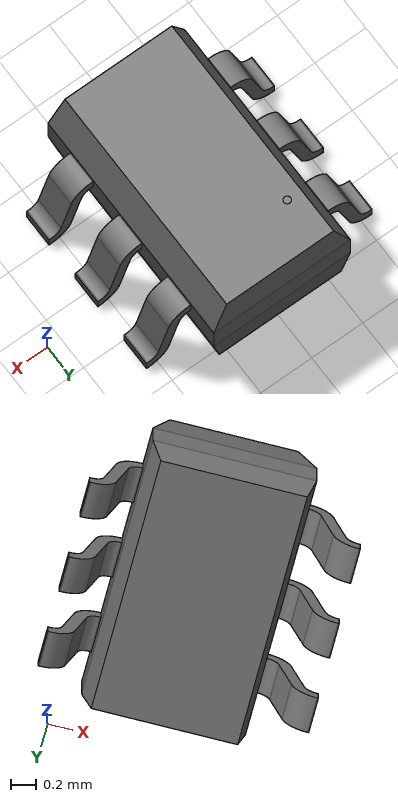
import cadquery as cq
import math


span_x = 2.21
housing_length = 2.21
overall_height = 1.09

belt_width = 1.34
belt_bottom_z = 0.453
belt_top_z = 0.735
housing_bottom_z = 0.105
top_width = 1.048
bottom_width = 1.195
end_taper = 0.027
tapered_length = housing_length - 2 * end_taper

leads_per_side = 3
lead_pitch = 0.65
lead_width = 0.3
lead_thickness = 0.105
lead_top_z = 0.723
inner_bend_radius = 0.11
outer_bend_radius = inner_bend_radius + lead_thickness
bend_angle = 75.0
shoulder_flat = 0.009

marker_diameter = 0.066
marker_depth = 0.022
marker_x = -0.385
marker_y = lead_pitch


def tapered_block(base_z, base_size, end_z, end_size):
    """Flat-sided block between two centred rectangles at different heights."""
    return (
        cq.Workplane("XY", origin=(0, 0, base_z))
        .rect(*base_size)
        .workplane(offset=end_z - base_z)
        .rect(*end_size)
        .loft(ruled=True)
    )


def make_marker():
    """Disc that fills the round recess in the housing top."""
    return (
        cq.Workplane("XY", origin=(marker_x, marker_y, overall_height - marker_depth))
        .circle(marker_diameter / 2)
        .extrude(marker_depth)
    )


def make_housing():
    """Belt and two tapered parts, with the marker recess cut into the top."""
    belt_size = (belt_width, housing_length)
    belt_height = belt_top_z - belt_bottom_z
    belt = cq.Workplane("XY", origin=(0, 0, belt_bottom_z)).rect(*belt_size).extrude(belt_height)
    upper = tapered_block(belt_top_z, belt_size, overall_height, (top_width, tapered_length))
    lower = tapered_block(belt_bottom_z, belt_size, housing_bottom_z, (bottom_width, tapered_length))
    return belt.union(upper).union(lower).cut(make_marker())


def bend_point(centre, radius, direction):
    """XZ point on a bend, with the direction in degrees from +X towards +Z."""
    angle = math.radians(direction)
    return (centre[0] + radius * math.cos(angle), centre[1] + radius * math.sin(angle))


def make_lead(side, centre_y):
    """Gull-wing lead on the +X side (side = 1) or the -X side (side = -1)."""
    shoulder_x = belt_width / 2
    foot_x = span_x / 2

    mid_radius = inner_bend_radius + lead_thickness / 2
    angle = math.radians(bend_angle)
    bends_run = 2 * mid_radius * math.sin(angle)
    bends_drop = 2 * mid_radius * (1 - math.cos(angle))
    leg_run = (lead_top_z - lead_thickness - bends_drop) / math.tan(angle)

    upper_centre = (shoulder_x + shoulder_flat, lead_top_z - outer_bend_radius)
    lower_centre = (upper_centre[0] + bends_run + leg_run, outer_bend_radius)

    upper_flat, upper_mid, upper_leg = 90, 90 - bend_angle / 2, 90 - bend_angle
    lower_flat, lower_mid, lower_leg = 270, 270 - bend_angle / 2, 270 - bend_angle

    lead = (
        cq.Workplane("XZ", origin=(0, centre_y + lead_width / 2, 0))
        .moveTo(shoulder_x, lead_top_z)
        .lineTo(*bend_point(upper_centre, outer_bend_radius, upper_flat))
        .threePointArc(
            bend_point(upper_centre, outer_bend_radius, upper_mid),
            bend_point(upper_centre, outer_bend_radius, upper_leg),
        )
        .lineTo(*bend_point(lower_centre, inner_bend_radius, lower_leg))
        .threePointArc(
            bend_point(lower_centre, inner_bend_radius, lower_mid),
            bend_point(lower_centre, inner_bend_radius, lower_flat),
        )
        .lineTo(foot_x, lead_thickness)
        .lineTo(foot_x, 0)
        .lineTo(*bend_point(lower_centre, outer_bend_radius, lower_flat))
        .threePointArc(
            bend_point(lower_centre, outer_bend_radius, lower_mid),
            bend_point(lower_centre, outer_bend_radius, lower_leg),
        )
        .lineTo(*bend_point(upper_centre, inner_bend_radius, upper_leg))
        .threePointArc(
            bend_point(upper_centre, inner_bend_radius, upper_mid),
            bend_point(upper_centre, inner_bend_radius, upper_flat),
        )
        .lineTo(shoulder_x, lead_top_z - lead_thickness)
        .close()
        .extrude(lead_width)
    )
    return lead if side > 0 else lead.mirror("YZ")


housing = make_housing()
marker = make_marker()

leads = []
for side in (-1, 1):
    for row in range(leads_per_side):
        centre_y = (row - (leads_per_side - 1) / 2) * lead_pitch
        leads.append(make_lead(side, centre_y))

result = cq.Compound.makeCompound([housing.val(), marker.val(), *[lead.val() for lead in leads]])